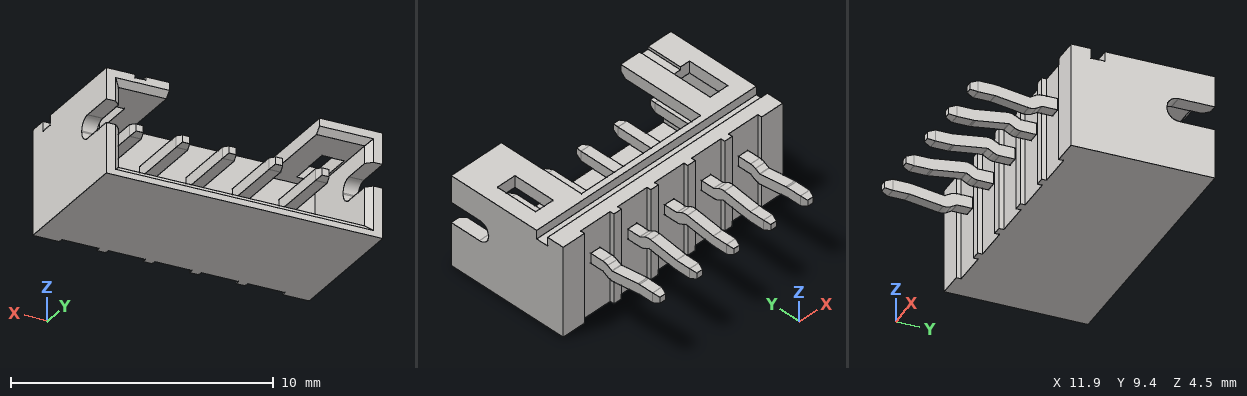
import cadquery as cq
import math

pin_count = 5
pitch = 2.0
pin_size = 0.5
pin_z = 2.8

width = 11.9
depth = 6.0
height = 4.5

cavity_depth = 4.28
cavity_floor = depth - cavity_depth
side_wall = 0.65
top_wall = 0.6
bottom_wall = 0.5
mouth_length = 0.25
mouth_flare = 0.25

notch_width = 6.45
window_width = 0.95
window_length = 2.05
window_edge = 0.75
window_setback = 1.74
key_width = 0.46
key_depth = 0.14
slot_length = 2.0
slot_bottom = 2.15
slot_height = 1.0
slot_radius = 0.48

groove_start = 0.83
groove_width = 0.58
groove_depth = 0.43
recess_width = 1.6
recess_depth = 0.2

mating_tip_y = 5.02
mating_tip_length = 0.35
tail_tip_y = -3.4
tail_tip_length = 0.3
shank_front = mating_tip_y - mating_tip_length
shank_back = tail_tip_y + tail_tip_length
tip_size = 0.31
kink_start = 0.51
kink_angle = 30.0
kink_offset = 0.21
kink_end = 2.38
inner_bend_radius = 0.02
bend_radius = pin_size / 2 + inner_bend_radius

pin_positions = [(i - (pin_count - 1) / 2) * pitch for i in range(pin_count)]


def block(x_range, y_range, z_range):
    """Box given by its limits along the three axes."""
    (x0, x1), (y0, y1), (z0, z1) = x_range, y_range, z_range
    return cq.Workplane("XY").box(x1 - x0, y1 - y0, z1 - z0, centered=False).translate((x0, y0, z0))


def cavity():
    """Pocket open at the mating face, flared along its mouth."""
    half = width / 2 - side_wall
    pocket = block((-half, half), (cavity_floor, depth), (bottom_wall, height - top_wall))
    inner_height = height - top_wall - bottom_wall
    mid_z = bottom_wall + inner_height / 2
    flare = (
        cq.Workplane("XZ", origin=(0, depth - mouth_length, mid_z))
        .rect(2 * half, inner_height)
        .workplane(offset=-mouth_length)
        .rect(2 * (half + mouth_flare), inner_height + 2 * mouth_flare)
        .loft(ruled=True)
    )
    return pocket.union(flare)


def top_notch():
    """Cutout that opens the top wall over the middle pins."""
    return block(
        (-notch_width / 2, notch_width / 2),
        (cavity_floor, depth),
        (height - top_wall, height),
    )


def window(side):
    """Opening through the top wall near one end; side is -1 or +1."""
    x_center = side * (width / 2 - window_edge - window_width / 2)
    y_end = depth - window_setback
    return block(
        (x_center - window_width / 2, x_center + window_width / 2),
        (y_end - window_length, y_end),
        (height - top_wall, height),
    )


def key_groove():
    """Shallow groove from the +X window to the mating face."""
    x_start = width / 2 - window_edge - window_width
    return block(
        (x_start, x_start + key_width),
        (depth - window_setback, depth),
        (height - key_depth, height),
    )


def side_slots():
    """Slot with rounded inner corners through both side walls."""
    slot = block(
        (-width / 2, width / 2),
        (depth - slot_length, depth),
        (slot_bottom, slot_bottom + slot_height),
    )
    return slot.edges("|X and <Y").fillet(slot_radius)


def cross_groove():
    """Groove across the full width of the top face, near the board end."""
    return block(
        (-width / 2, width / 2),
        (groove_start, groove_start + groove_width),
        (height - groove_depth, height),
    )


def board_recess(x):
    """Full-height relief in the board face around the pin at x; ribs remain between reliefs."""
    return block((x - recess_width / 2, x + recess_width / 2), (0, recess_depth), (0, height))


def pin_hole(x):
    """Square hole for the pin at x, from the board face to the cavity floor."""
    half = pin_size / 2
    return block((x - half, x + half), (0, cavity_floor), (pin_z - half, pin_z + half))


def make_housing():
    """Plain block with the cavity and every opening cut from it."""
    body = block((-width / 2, width / 2), (0, depth), (0, height))
    body = body.cut(cavity()).cut(top_notch()).cut(side_slots())
    for side in (-1, 1):
        body = body.cut(window(side))
    body = body.cut(key_groove()).cut(cross_groove())
    for x in pin_positions:
        body = body.cut(board_recess(x)).cut(pin_hole(x))
    return body


def kinked_path(direction):
    """Centre line of the pin shank in (y, z), with an arc at every bend."""
    kink_peak = kink_start + kink_offset / math.tan(math.radians(kink_angle))
    corners = [
        (shank_front, 0),
        (-kink_start, 0),
        (-kink_peak, direction * kink_offset),
        (-kink_end, 0),
        (shank_back, 0),
    ]
    headings = [math.atan2(z1 - z0, y0 - y1) for (y0, z0), (y1, z1) in zip(corners, corners[1:])]
    path = cq.Workplane("YZ", origin=(0, 0, pin_z)).moveTo(*corners[0])
    for (y, z), arriving, leaving in zip(corners[1:-1], headings, headings[1:]):
        setback = bend_radius * math.tan(abs(leaving - arriving) / 2)
        path = path.lineTo(y + setback * math.cos(arriving), z - setback * math.sin(arriving))
        path = path.tangentArcPoint(
            (y - setback * math.cos(leaving), z + setback * math.sin(leaving)), relative=False
        )
    return path.lineTo(*corners[-1])


def pin_tip(y_base, y_end):
    """Square tip tapering from the pin section to its blunt end."""
    return (
        cq.Workplane("XZ", origin=(0, y_base, pin_z))
        .rect(pin_size, pin_size)
        .workplane(offset=y_base - y_end)
        .rect(tip_size, tip_size)
        .loft(ruled=True)
    )


def make_pin(x, direction):
    """Pin at x whose tail kinks up (+1) or down (-1)."""
    shank = (
        cq.Workplane("XZ", origin=(0, shank_front, pin_z))
        .rect(pin_size, pin_size)
        .sweep(kinked_path(direction))
    )
    mating_tip = pin_tip(shank_front, mating_tip_y)
    tail_tip = pin_tip(shank_back, tail_tip_y)
    return shank.union(mating_tip).union(tail_tip).translate((x, 0, 0))


housing = make_housing()

pins = []
for index, x in enumerate(pin_positions):
    is_end_pin = index in (0, pin_count - 1)
    pins.append(make_pin(x, -1 if is_end_pin else 1))

result = cq.Compound.makeCompound([housing.val(), *[pin.val() for pin in pins]])